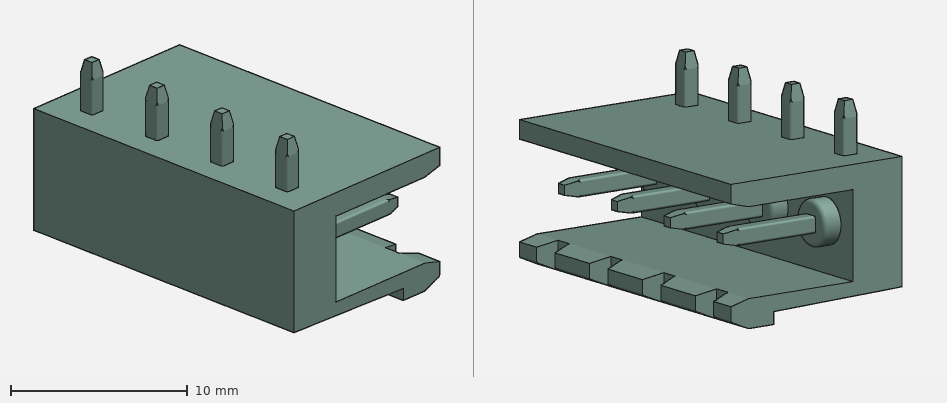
import cadquery as cq

length = 20.32
depth = 12.0
housing_top = 8.55
back_wall = 3.45

upper_arm_thickness = 1.46
upper_tip_thickness = 1.14
lead_in_length = 1.24

lower_arm_top = 1.75
lower_tip_top = 1.45
lower_tip_bottom = 0.55
hook_heel_y = 9.0
underside_at_heel = 0.75
underside_at_back = 0.98
tip_rounding = 0.16

notch_mouth_width = 1.77
notch_floor_width = 1.05

pin_count = 4
pitch = length / pin_count
pin_width = 1.0
pin_edge_radius = 0.15
pin_tip_width = 0.59
pin_tip_length = 1.0
solder_pin_y = 2.11
solder_pin_top = 11.7
contact_pin_z = 4.82
contact_pin_end_y = 10.91

collar_diameter = 2.78
collar_length = 1.14
collar_rounding = 0.28

pin_positions = [(i + 0.5) * pitch for i in range(pin_count)]


def make_housing():
    lead_in_y = depth - lead_in_length
    upper_arm_bottom = housing_top - upper_arm_thickness
    profile = [
        (0, underside_at_back),
        (0, housing_top),
        (depth, housing_top),
        (depth, housing_top - upper_tip_thickness),
        (lead_in_y, upper_arm_bottom),
        (back_wall, upper_arm_bottom),
        (back_wall, lower_arm_top),
        (lead_in_y, lower_arm_top),
        (depth, lower_tip_top),
        (depth, lower_tip_bottom),
        (lead_in_y, 0),
        (hook_heel_y, 0),
        (hook_heel_y, underside_at_heel),
    ]
    housing = cq.Workplane("YZ").polyline(profile).close().extrude(length)
    lower_tip_edge = cq.selectors.NearestToPointSelector((length / 2, depth, lower_tip_bottom))
    return housing.edges(lower_tip_edge).fillet(tip_rounding)


def make_notch(x):
    """Trapezoidal cutter through the lower arm, narrowing inward from the tip."""
    floor_y = depth - lead_in_length
    outline = [
        (x - notch_mouth_width / 2, depth),
        (x + notch_mouth_width / 2, depth),
        (x + notch_floor_width / 2, floor_y),
        (x - notch_floor_width / 2, floor_y),
    ]
    return cq.Workplane("XY").polyline(outline).close().extrude(lower_arm_top)


def make_pin(pin_length):
    """Pin standing on the origin and pointing along +Z."""
    shank_length = pin_length - pin_tip_length
    shank = cq.Workplane("XY").rect(pin_width, pin_width).extrude(shank_length)
    tip = (
        cq.Workplane("XY", origin=(0, 0, shank_length))
        .rect(pin_width, pin_width)
        .workplane(offset=pin_tip_length)
        .rect(pin_tip_width, pin_tip_width)
        .loft()
    )
    rounded_bar = (
        cq.Workplane("XY").rect(pin_width, pin_width).extrude(pin_length).edges("|Z").fillet(pin_edge_radius)
    )
    return shank.union(tip).intersect(rounded_bar)


def make_collar():
    """Collar standing on the XY plane, rounded at its free end."""
    collar = cq.Workplane("XY").circle(collar_diameter / 2).extrude(collar_length)
    return collar.faces(">Z").edges().fillet(collar_rounding)


solder_pin = make_pin(solder_pin_top - contact_pin_z)
contact_pin = make_pin(contact_pin_end_y - solder_pin_y)
collared_contact = contact_pin.union(make_collar().translate((0, 0, back_wall - solder_pin_y)))
forward_contact = collared_contact.rotate((0, 0, 0), (1, 0, 0), -90)

result = make_housing()
for x in pin_positions:
    pin_corner = (x, solder_pin_y, contact_pin_z)
    result = result.cut(make_notch(x))
    result = result.union(solder_pin.translate(pin_corner))
    result = result.union(forward_contact.translate(pin_corner))